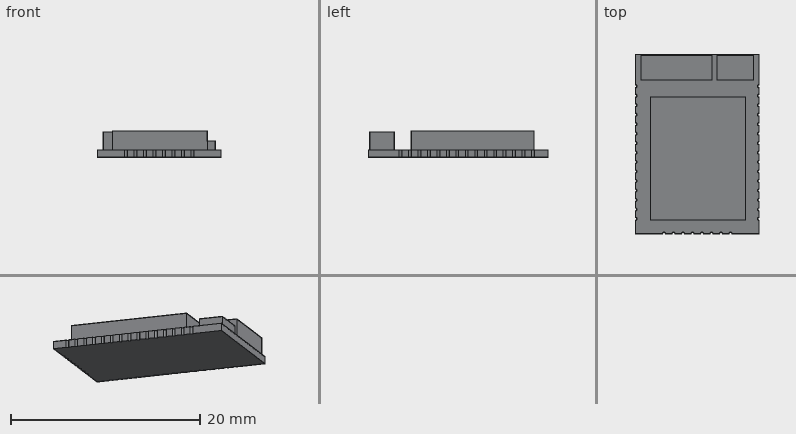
import cadquery as cq

board_width = 13.05
board_length = 18.95
board_thickness = 0.8
overall_height = 2.8

shield_width = 10.0
shield_length = 13.0
shield_height = overall_height - board_thickness
shield_left_margin = 1.6
shield_front_margin = 1.45

block_length = 2.6
block_rear_margin = 0.13
block_side_margin = 0.6
block_gap = 0.51
tall_block_width = 7.5
tall_block_height = 1.9
low_block_width = board_width - 2 * block_side_margin - block_gap - tall_block_width
low_block_height = 0.95

notch_radius = 0.15
side_notch_count = 15
first_side_notch = 1.57
last_side_notch = 15.58
notch_pitch = (last_side_notch - first_side_notch) / (side_notch_count - 1)
front_notch_count = 8

left_edge = -board_width / 2
right_edge = board_width / 2


def block_on_board(left, front, width, length, height):
    """Box standing on the board, sunk through it so that the solids join."""
    return cq.Workplane("XY").box(
        width, length, board_thickness + height, centered=False
    ).translate((left, front, 0))


def notch_centres():
    """Notch centres along the left, right and front edges."""
    centres = []
    for index in range(side_notch_count):
        y = first_side_notch + index * notch_pitch
        centres.append((left_edge, y))
        centres.append((right_edge, y))
    first_front_notch = -(front_notch_count - 1) * notch_pitch / 2
    for index in range(front_notch_count):
        centres.append((first_front_notch + index * notch_pitch, 0))
    return centres


board = cq.Workplane("XY").box(
    board_width, board_length, board_thickness, centered=False
).translate((left_edge, 0, 0))
notches = cq.Workplane("XY").pushPoints(notch_centres()).circle(notch_radius).extrude(board_thickness)
board = board.cut(notches)

shield = block_on_board(
    left_edge + shield_left_margin, shield_front_margin, shield_width, shield_length, shield_height
)
block_front = board_length - block_rear_margin - block_length
tall_block_left = left_edge + block_side_margin
low_block_left = tall_block_left + tall_block_width + block_gap
tall_block = block_on_board(
    tall_block_left, block_front, tall_block_width, block_length, tall_block_height
)
low_block = block_on_board(
    low_block_left, block_front, low_block_width, block_length, low_block_height
)

result = board.union(shield).union(tall_block).union(low_block)